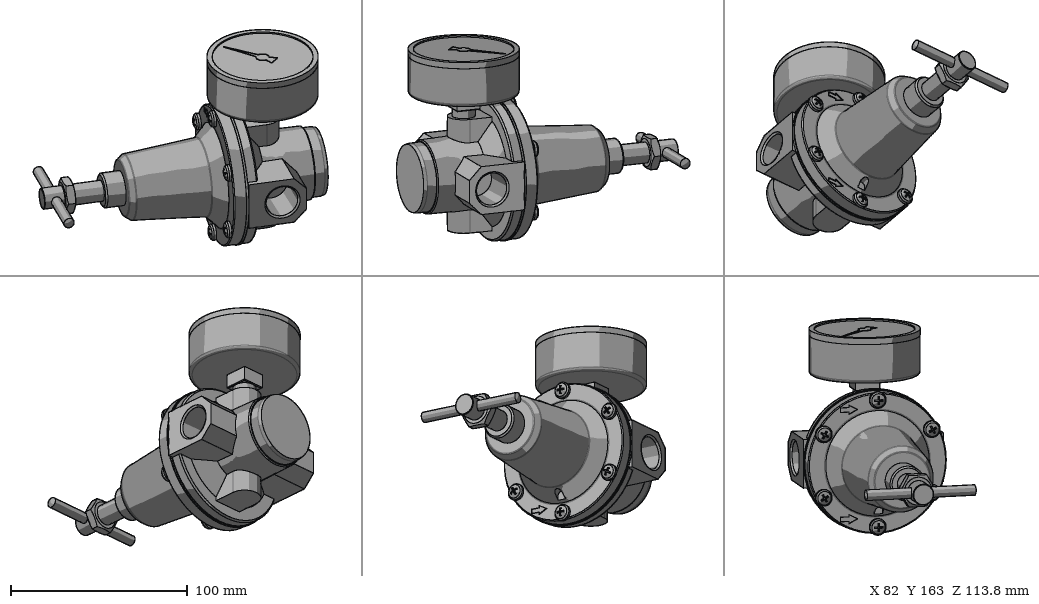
import cadquery as cq
import math


rear_end = 33.1
cap_radius = 40.0 / 2
cap_chamfer_length = 2.1
cap_chamfer = 0.5
cap_front = 25.3
body_edge_chamfer = 0.7
body_rear_radius = 21.2
body_front_radius = 21.8
cone_start = -4.9
cone_end_radius = 32.3

flange_rear = -13.5
disc_rear = -19.7
disc_front = -21.0
flange_front = -28.4
flange_radius = 81.0 / 2
flange_rear_edge = 1.0
flange_front_edge = 0.7
disc_radius = 82.0 / 2

bonnet_base_radius = 31.0
bonnet_base_step = 0.2
bonnet_cone_radius = 30.3
bonnet_neck = -36.2
bonnet_neck_radius = 22.8
bonnet_tip_start = -79.5
bonnet_tip_radius = 19.0
bonnet_front = -83.1
bonnet_front_radius = 16.3
bonnet_edge_fillet = 0.8

vent_radius = 2.5
vent_center_z = -26.2
vent_floor = -30.0

collar_radius = 20.0 / 2
collar_front = -94.9
collar_chamfer = 1.0
stem_radius = 12.0 / 2
stem_chamfer = 0.3
overall_length = 163
stem_front = rear_end - overall_length
nut_across_flats = 18.1
nut_face_radius = 8.0
nut_rear = -112.1
nut_thickness = 5.9
nut_chamfer_height = 1.0
handle_radius = 6.0 / 2
handle_y = -122.9
handle_straight_half = 31.8
handle_half_length = 32.6

block_half_width = disc_radius
block_half_height = 14.0
block_rear = 14.2
block_chamfer = 7.3
port_mouth_diameter = 20.7
port_diameter = 18.6
port_depth = 22.8

boss_radius = 18.6 / 2
boss_half_height = 33.3

screw_count = 6
screw_circle_radius = 36.5
screw_head_radius = 4.7
screw_rim_height = 1.5
screw_shoulder_radius = 3.9
screw_shoulder_height = 2.5
screw_head_height = 3.6
cross_length = 4.5
cross_width = 0.8
cross_depth = 1.0

arrow_tail_x = -21.5
arrow_neck_x = -16.6
arrow_tip_x = -11.5
arrow_shaft_half = 1.3
arrow_head_half = 2.6
arrow_z = 31.5
arrow_depth = 0.5

bezel_radius = 63.0 / 2
case_radius = 62.9 / 2
overall_height = 113.8
gauge_top = overall_height - screw_circle_radius - screw_head_radius
bezel_height = 3.6
gauge_bottom = 46.5
case_edge_fillet = 1.8
dial_radius = 57 / 2
dial_depth = 0.8
square_side = 14.2
square_bottom = 37.8
square_chamfer = 0.5
spigot_radius = 13.2 / 2

pointer_angle = 45
pointer_height = 0.3
pointer_hub_radius = 3.7
pointer_tail_length = 7.8
pointer_tail_half = 3.5
pointer_waist_half = 0.8
pointer_root_half = 1.5
pointer_tip_length = 25.3
pointer_tip_half = 0.2


def solid_of_revolution(points):
    """Revolve a (radius, y) outline about the regulator axis."""
    return cq.Workplane("XY").polyline(points).close().revolve(360, (0, 0), (0, 1))


def make_valve_body():
    return solid_of_revolution([
        (0, rear_end),
        (cap_radius - cap_chamfer, rear_end),
        (cap_radius, rear_end - cap_chamfer_length),
        (cap_radius, cap_front),
        (body_rear_radius - body_edge_chamfer, cap_front),
        (body_rear_radius, cap_front - body_edge_chamfer),
        (body_front_radius, cone_start),
        (cone_end_radius, flange_rear),
        (flange_radius - flange_rear_edge, flange_rear),
        (flange_radius, flange_rear - flange_rear_edge),
        (flange_radius, disc_rear),
        (disc_radius, disc_rear),
        (disc_radius, disc_front),
        (flange_radius, disc_front),
        (flange_radius, flange_front + flange_front_edge),
        (flange_radius - flange_front_edge, flange_front),
        (0, flange_front),
    ])


def make_bonnet():
    """Steep cone rising from the flange, then a slender taper, with softened circular edges."""
    bonnet = solid_of_revolution([
        (0, flange_front),
        (bonnet_base_radius, flange_front),
        (bonnet_cone_radius, flange_front - bonnet_base_step),
        (bonnet_neck_radius, bonnet_neck),
        (bonnet_tip_radius, bonnet_tip_start),
        (bonnet_front_radius, bonnet_front),
        (0, bonnet_front),
    ])
    margin = 1.6
    soft_edges = cq.selectors.BoxSelector(
        (-margin, bonnet_neck + margin, -margin),
        (margin, bonnet_front - margin, margin),
    )
    return bonnet.edges("%CIRCLE").edges(soft_edges).fillet(bonnet_edge_fillet)


def make_collar_and_stem():
    return solid_of_revolution([
        (0, bonnet_front),
        (collar_radius, bonnet_front),
        (collar_radius, collar_front + collar_chamfer),
        (collar_radius - collar_chamfer, collar_front),
        (stem_radius, collar_front),
        (stem_radius, stem_front + stem_chamfer),
        (stem_radius - stem_chamfer, stem_front),
        (0, stem_front),
    ])


def make_lock_nut():
    corner_radius = nut_across_flats / 2 / math.cos(math.pi / 6)
    nut_front = nut_rear - nut_thickness
    hexagon = (
        cq.Workplane("XZ", origin=(0, nut_rear, 0))
        .polygon(6, 2 * corner_radius)
        .extrude(nut_thickness)
    )
    envelope = solid_of_revolution([
        (0, nut_rear),
        (nut_face_radius, nut_rear),
        (corner_radius, nut_rear - nut_chamfer_height),
        (corner_radius, nut_front + nut_chamfer_height),
        (nut_face_radius, nut_front),
        (0, nut_front),
    ])
    return hexagon.intersect(envelope)


def make_handle():
    """Cross bar with slightly domed ends."""
    dome_height = handle_half_length - handle_straight_half
    dome_radius = (handle_radius**2 + dome_height**2) / (2 * dome_height)
    half_angle = math.asin(handle_radius / dome_radius) / 2
    mid_x = handle_half_length - dome_radius * (1 - math.cos(half_angle))
    mid_r = dome_radius * math.sin(half_angle)
    return (
        cq.Workplane("XY", origin=(0, handle_y, 0))
        .moveTo(-handle_half_length, 0)
        .threePointArc((-mid_x, mid_r), (-handle_straight_half, handle_radius))
        .lineTo(handle_straight_half, handle_radius)
        .threePointArc((mid_x, mid_r), (handle_half_length, 0))
        .close()
        .revolve(360, (0, 0), (1, 0))
    )


def make_port_block():
    length = block_rear - disc_rear
    return (
        cq.Workplane("XY")
        .box(2 * block_half_width, length, 2 * block_half_height)
        .translate((0, (block_rear + disc_rear) / 2, 0))
        .edges("|X and >Y")
        .chamfer(block_chamfer)
    )


def make_port(side):
    """Blind port with a chamfered mouth, entering from the side given by -1 or +1."""
    chamfer = (port_mouth_diameter - port_diameter) / 2
    bore = (
        cq.Workplane("YZ", origin=(side * block_half_width, 0, 0))
        .circle(port_diameter / 2)
        .extrude(-side * port_depth)
    )
    mouth = (
        cq.Workplane("YZ", origin=(side * block_half_width, 0, 0))
        .circle(port_mouth_diameter / 2)
        .workplane(offset=-side * chamfer)
        .circle(port_diameter / 2)
        .loft()
    )
    return bore.union(mouth)


def make_gauge_bosses():
    """Upright round post, widened straight forward into the flange."""
    height = 2 * boss_half_height
    web_length = -disc_rear
    post = cq.Workplane("XY", origin=(0, 0, -boss_half_height)).circle(boss_radius).extrude(height)
    web = (
        cq.Workplane("XY")
        .box(2 * boss_radius, web_length, height)
        .translate((0, -web_length / 2, 0))
    )
    return post.union(web)


def make_screw_head():
    """Domed pan head with a cross recess, at the top of the screw circle."""
    rim_y = flange_front - screw_rim_height
    shoulder_y = flange_front - screw_shoulder_height
    top_y = flange_front - screw_head_height
    dome_rise = shoulder_y - top_y
    head = (
        cq.Workplane("XY")
        .moveTo(0, flange_front)
        .lineTo(screw_head_radius, flange_front)
        .lineTo(screw_head_radius, rim_y)
        .lineTo(screw_shoulder_radius, shoulder_y)
        .threePointArc((screw_shoulder_radius / 2, top_y + dome_rise / 4), (0, top_y))
        .close()
        .revolve(360, (0, 0), (0, 1))
    )
    recess = (
        cq.Workplane("XZ", origin=(0, top_y + cross_depth, 0))
        .rect(cross_length, cross_width)
        .extrude(cross_depth)
        .union(
            cq.Workplane("XZ", origin=(0, top_y + cross_depth, 0))
            .rect(cross_width, cross_length)
            .extrude(cross_depth)
        )
    )
    return head.cut(recess).translate((0, 0, screw_circle_radius))


def make_arrow(z):
    return (
        cq.Workplane("XZ", origin=(0, flange_front + arrow_depth, z))
        .polyline([
            (arrow_tail_x, -arrow_shaft_half),
            (arrow_neck_x, -arrow_shaft_half),
            (arrow_neck_x, -arrow_head_half),
            (arrow_tip_x, 0),
            (arrow_neck_x, arrow_head_half),
            (arrow_neck_x, arrow_shaft_half),
            (arrow_tail_x, arrow_shaft_half),
        ])
        .close()
        .extrude(arrow_depth)
    )


def make_vent_pocket():
    """Flat-floored notch with an arched top, open downward through the bonnet cone."""
    return (
        cq.Workplane("XZ", origin=(0, vent_floor, 0))
        .moveTo(-vent_radius, -bonnet_base_radius)
        .lineTo(-vent_radius, vent_center_z)
        .threePointArc((0, vent_center_z + vent_radius), (vent_radius, vent_center_z))
        .lineTo(vent_radius, -bonnet_base_radius)
        .close()
        .extrude(vent_floor - bonnet_neck)
    )


def make_regulator():
    regulator = make_valve_body().union(make_port_block()).union(make_gauge_bosses())
    regulator = regulator.union(make_bonnet()).union(make_collar_and_stem())
    regulator = regulator.union(make_lock_nut()).union(make_handle())
    for side in (-1, 1):
        regulator = regulator.cut(make_port(side))
    for z in (-arrow_z, arrow_z):
        regulator = regulator.cut(make_arrow(z))
    regulator = regulator.cut(make_vent_pocket())
    for i in range(screw_count):
        screw = make_screw_head().rotate((0, 0, 0), (0, 1, 0), i * 360 / screw_count)
        regulator = regulator.union(screw)
    return regulator


def make_pointer():
    """Needle with a round hub and a flared tail, raised from the dial."""
    blade = (
        cq.Workplane("XY")
        .polyline([
            (-pointer_tip_length, -pointer_tip_half),
            (0, -pointer_root_half),
            (0, -pointer_waist_half),
            (pointer_tail_length, -pointer_tail_half),
            (pointer_tail_length, pointer_tail_half),
            (0, pointer_waist_half),
            (0, pointer_root_half),
            (-pointer_tip_length, pointer_tip_half),
        ])
        .close()
        .extrude(pointer_height)
    )
    hub = cq.Workplane("XY").circle(pointer_hub_radius).extrude(pointer_height)
    pointer = blade.union(hub).rotate((0, 0, 0), (0, 0, 1), pointer_angle)
    return pointer.translate((0, 0, gauge_top - dial_depth))


def make_gauge():
    case = (
        cq.Workplane("XZ")
        .polyline([
            (0, gauge_bottom),
            (case_radius, gauge_bottom),
            (case_radius, gauge_top - bezel_height),
            (bezel_radius, gauge_top - bezel_height),
            (bezel_radius, gauge_top),
            (dial_radius, gauge_top),
            (dial_radius, gauge_top - dial_depth),
            (0, gauge_top - dial_depth),
        ])
        .close()
        .revolve(360, (0, 0), (0, 1))
        .faces("<Z")
        .edges()
        .fillet(case_edge_fillet)
    )
    square = (
        cq.Workplane("XY", origin=(0, 0, square_bottom))
        .rect(square_side, square_side)
        .extrude(gauge_bottom - square_bottom)
        .faces("<Z")
        .chamfer(square_chamfer)
    )
    spigot = (
        cq.Workplane("XY", origin=(0, 0, boss_half_height))
        .circle(spigot_radius)
        .extrude(square_bottom - boss_half_height)
    )
    return case.union(square).union(spigot).union(make_pointer())


regulator = make_regulator()
gauge = make_gauge()
result = cq.Compound.makeCompound([regulator.val(), gauge.val()])